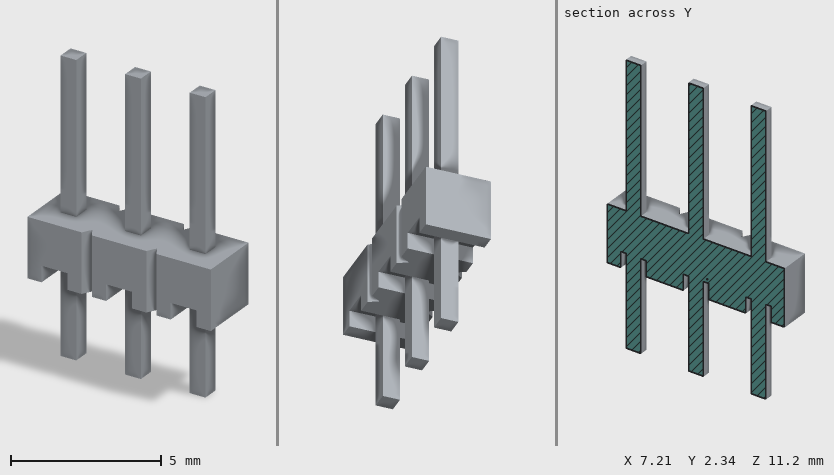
import cadquery as cq

pin_count = 3
pitch = 2.54

body_length = 7.21
body_width = 2.34
body_height = 2.29

pin_side = 0.62
pin_above_body = 5.84
pin_below_body = 3.05
pin_length = pin_below_body + body_height + pin_above_body

slot_width = 1.02
slot_height = 0.62

notch_width = 0.4
notch_depth = 0.35

first_pin_x = -pitch * (pin_count - 1) / 2
pin_positions = [first_pin_x + i * pitch for i in range(pin_count)]
notch_positions = [x + pitch / 2 for x in pin_positions[:-1]]


def upright_box(x, size_x, size_y, bottom, height):
    """Box centred on (x, 0) and standing on the level z = bottom."""
    return cq.Workplane("XY", origin=(x, 0, bottom)).rect(size_x, size_y).extrude(height)


def v_notch(x, side):
    """Triangular cutter at x; side is -1 for the -Y face, +1 for the +Y face."""
    face_y = side * body_width / 2
    tip_y = face_y - side * notch_depth
    corners = [
        (x - notch_width / 2, face_y),
        (x + notch_width / 2, face_y),
        (x, tip_y),
    ]
    return cq.Workplane("XY").polyline(corners).close().extrude(body_height)


def make_body():
    """Body standing on z = 0 with its notches and underside slots cut."""
    body = upright_box(0, body_length, body_width, 0, body_height)
    for x in notch_positions:
        for side in (-1, 1):
            body = body.cut(v_notch(x, side))
    for x in pin_positions:
        body = body.cut(upright_box(x, slot_width, body_width, 0, slot_height))
    return body


result = make_body()
for pin_x in pin_positions:
    result = result.union(upright_box(pin_x, pin_side, pin_side, -pin_below_body, pin_length))